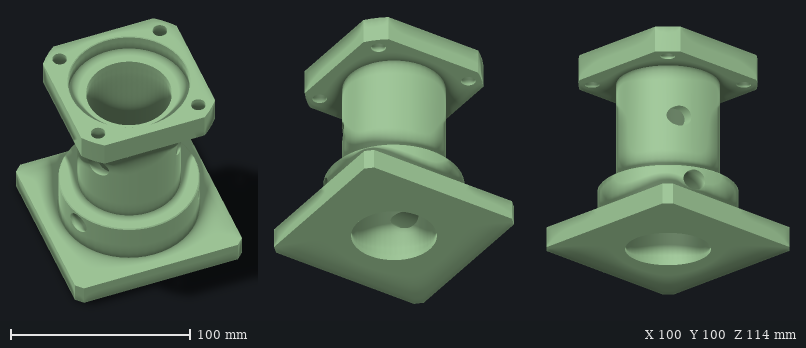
import cadquery as cq

height = 114.0

base_side = 100.0
base_thickness = 12.0
base_corner = 4.0

collar_diameter = 79.0
collar_top = 35.0
collar_chamfer = 0.6
collar_groove = 0.6
tube_diameter = 58.0
bore_diameter = 48.0

top_side = 80.0
top_thickness = 15.0
top_corner_diameter = 100.0
recess_diameter = 68.0
recess_depth = 9.6
recess_chamfer = 0.5
bolt_diameter = 8.2
bolt_spacing = 60.0

cross_diameter = 12.0
cross_offset = 15.0
cross_heights = (27.0, 69.0)


def cylinder(diameter, bottom, top):
    """Vertical cylinder on the part axis."""
    return cq.Workplane("XY", origin=(0, 0, bottom)).circle(diameter / 2).extrude(top - bottom)


def cone(diameter, chamfer, top):
    """45 degree cone ending at top, widening a circle of the given diameter by the chamfer."""
    radius = diameter / 2
    bottom_center = cq.Vector(0, 0, top - chamfer)
    return cq.Workplane("XY").add(cq.Solid.makeCone(radius, radius + chamfer, chamfer, pnt=bottom_center))


def square_plate(side, thickness, bottom):
    """Square plate centered on the part axis."""
    return cq.Workplane("XY", origin=(0, 0, bottom)).rect(side, side).extrude(thickness)


top_bottom = height - top_thickness
base = square_plate(base_side, base_thickness, 0).edges("|Z").chamfer(base_corner)
collar = cylinder(collar_diameter, base_thickness, collar_top).faces(">Z").chamfer(collar_chamfer)
tube = cylinder(tube_diameter, collar_top, top_bottom)
top_flange = square_plate(top_side, top_thickness, top_bottom).intersect(
    cylinder(top_corner_diameter, top_bottom, height)
)
result = base.union(collar).union(tube).union(top_flange)

groove_bottom = base_thickness - collar_groove
groove = cone(collar_diameter, collar_groove, base_thickness).cut(
    cylinder(collar_diameter, groove_bottom, base_thickness)
)
result = result.cut(groove)

recess = cylinder(recess_diameter, height - recess_depth, height)
recess_lead_in = cone(recess_diameter, recess_chamfer, height)
result = result.cut(cylinder(bore_diameter, 0, height)).cut(recess).cut(recess_lead_in)

bolt_holes = (
    cq.Workplane("XY", origin=(0, 0, top_bottom))
    .rect(bolt_spacing, bolt_spacing, forConstruction=True)
    .vertices().circle(bolt_diameter / 2).extrude(top_thickness)
)
result = result.cut(bolt_holes)

for cross_height in cross_heights:
    cross_hole = (
        cq.Workplane("XZ", origin=(cross_offset, 0, cross_height))
        .circle(cross_diameter / 2).extrude(base_side / 2, both=True)
    )
    result = result.cut(cross_hole)